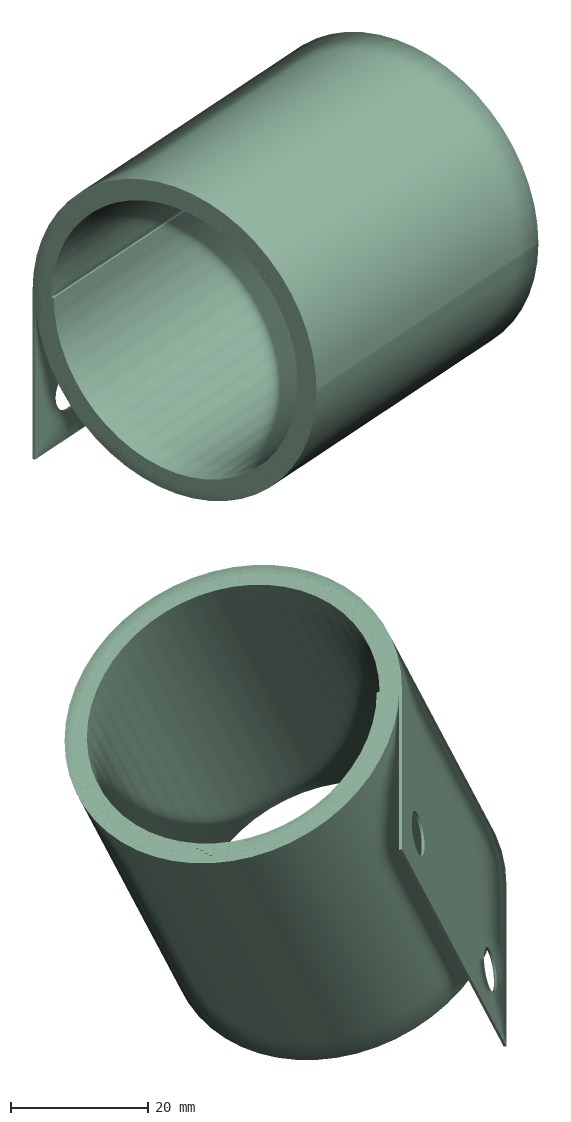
import cadquery as cq

STRIP_WIDTH = 55.0
STRIP_THICKNESS = 0.423
LAYER_GAP = 0.002
COIL_OUTER_RADIUS = 25.61
TURNS = 8
TAIL_LENGTH = 28.0

HOLE_DIAMETER = 6.7
HOLE_SPACING = 38.0
HOLE_EDGE_DISTANCE = 8.0

RADIUS_STEP = (STRIP_THICKNESS + LAYER_GAP) / 2
HALF_TURNS = 2 * TURNS
TAIL_OUTER_X = -COIL_OUTER_RADIUS
TAIL_INNER_X = TAIL_OUTER_X + STRIP_THICKNESS
TAIL_END_Z = -TAIL_LENGTH


def half_turn(index, inset):
    """Middle and end points (x, z) of one half turn, measured inset from the strip's outer face.

    Even half turns pass over the top from left to right, odd ones return underneath.
    The centre of the lower ones is moved to +X so that they join the upper ones tangentially.
    """
    radius = COIL_OUTER_RADIUS - index * RADIUS_STEP - inset
    if index % 2 == 0:
        return (0, radius), (radius, 0)
    return (RADIUS_STEP, -radius), (RADIUS_STEP - radius, 0)


def make_strip():
    """Extrude the profile: outer face wound inward, inner end, then inner face wound back."""
    profile = cq.Workplane("XZ").moveTo(TAIL_OUTER_X, TAIL_END_Z).lineTo(TAIL_OUTER_X, 0)
    for index in range(HALF_TURNS):
        middle, end = half_turn(index, 0)
        profile = profile.threePointArc(middle, end)

    joints = [(TAIL_INNER_X, 0)]
    for index in range(HALF_TURNS):
        joints.append(half_turn(index, STRIP_THICKNESS)[1])

    profile = profile.lineTo(*joints[-1])
    for index in reversed(range(HALF_TURNS)):
        middle = half_turn(index, STRIP_THICKNESS)[0]
        profile = profile.threePointArc(middle, joints[index])

    profile = profile.lineTo(TAIL_INNER_X, TAIL_END_Z).close()
    return profile.extrude(STRIP_WIDTH / 2, both=True)


def make_hole_cutter():
    """Two cylinders along X, just long enough to pass through the tail and not the coil."""
    hole_z = TAIL_END_Z + HOLE_EDGE_DISTANCE
    hole_y = HOLE_SPACING / 2
    return (
        cq.Workplane("YZ", origin=(TAIL_OUTER_X, 0, 0))
        .pushPoints([(-hole_y, hole_z), (hole_y, hole_z)])
        .circle(HOLE_DIAMETER / 2)
        .extrude(STRIP_THICKNESS)
    )


result = make_strip().cut(make_hole_cutter())